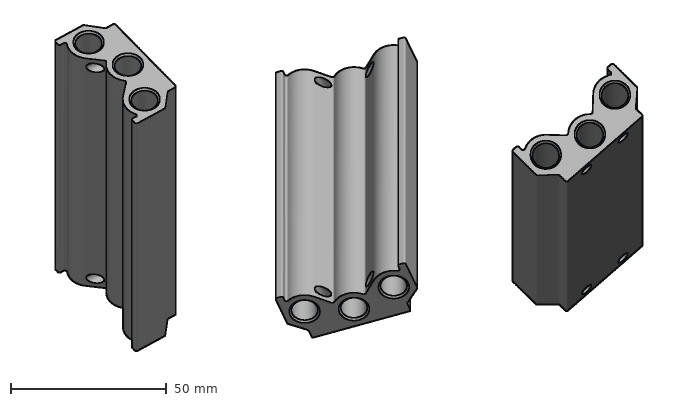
import cadquery as cq
import math

width = 44.5
depth = 20.0
length = 109.5

half_width = width / 2
back_half_width = 16.9
back_step = 3.5
shoulder_y = depth - back_step
bevel_height = 4.9
bevel_low_y = shoulder_y - bevel_height
leg_thickness = 2.6
back_edge_radius = 0.5
leg_radius = 0.7
valley_radius = 0.8

side_bore_x = 15.2
side_bore_y = 8.5
middle_bore_y = 13.0
lobe_radius = 7.0
bore_radius = 4.3
bore_mouth_radius = 4.9
bore_chamfer = bore_mouth_radius - bore_radius
bore_centres = [(-side_bore_x, side_bore_y), (0, middle_bore_y), (side_bore_x, side_bore_y)]

mount_x = 8.0
mount_end_distance = 4.0
mount_radius = 2.1


def make_body():
    """Extrude the symmetric profile, then round its lengthwise edges."""
    diagonal = lobe_radius * math.sqrt(0.5)
    flank_x = side_bore_x - diagonal
    flank_y = side_bore_y - diagonal

    offset = flank_x + flank_y - middle_bore_y
    valley_x = (offset + math.sqrt(2 * lobe_radius**2 - offset**2)) / 2
    valley_y = middle_bore_y + offset - valley_x

    leg_inner_x = half_width - leg_thickness
    root_y = side_bore_y - math.sqrt(lobe_radius**2 - (leg_inner_x - side_bore_x) ** 2)
    side_lobe_low = side_bore_y - lobe_radius
    middle_lobe_low = middle_bore_y - lobe_radius

    profile = (
        cq.Workplane("XY")
        .moveTo(-back_half_width, depth)
        .lineTo(back_half_width, depth)
        .lineTo(back_half_width, shoulder_y)
        .lineTo(half_width, bevel_low_y)
        .lineTo(half_width, 0)
        .lineTo(leg_inner_x, 0)
        .lineTo(leg_inner_x, root_y)
        .threePointArc((side_bore_x, side_lobe_low), (flank_x, flank_y))
        .lineTo(valley_x, valley_y)
        .threePointArc((0, middle_lobe_low), (-valley_x, valley_y))
        .lineTo(-flank_x, flank_y)
        .threePointArc((-side_bore_x, side_lobe_low), (-leg_inner_x, root_y))
        .lineTo(-leg_inner_x, 0)
        .lineTo(-half_width, 0)
        .lineTo(-half_width, bevel_low_y)
        .lineTo(-back_half_width, shoulder_y)
        .close()
    )
    body = profile.extrude(length)

    body = round_long_edges(body, (valley_x, valley_y), valley_radius)
    back_points = [
        (back_half_width, depth),
        (back_half_width, shoulder_y),
        (half_width, bevel_low_y),
    ]
    for point in back_points:
        body = round_long_edges(body, point, back_edge_radius)
    leg_points = [
        (half_width, 0),
        (leg_inner_x, 0),
        (leg_inner_x, root_y),
    ]
    for point in leg_points:
        body = round_long_edges(body, point, leg_radius)
    return body


def round_long_edges(body, point, radius):
    """Fillet the lengthwise edge at a profile point and its mirror image across X = 0."""
    x, y = point
    for edge_x in (-x, x):
        edge = cq.selectors.NearestToPointSelector((edge_x, y, length / 2))
        body = body.edges("|Z").edges(edge).fillet(radius)
    return body


def make_bore(x, y):
    """Through bore with a conical mouth at both ends."""
    half_section = (
        cq.Workplane("XZ", origin=(x, y, 0))
        .moveTo(0, 0)
        .lineTo(bore_mouth_radius, 0)
        .lineTo(bore_radius, bore_chamfer)
        .lineTo(bore_radius, length - bore_chamfer)
        .lineTo(bore_mouth_radius, length)
        .lineTo(0, length)
        .close()
    )
    return half_section.revolve(360, (0, 0, 0), (0, 1, 0))


def make_mount_hole(x, z):
    """Plain hole through the thickness along Y."""
    return cq.Workplane("XZ", origin=(x, 0, z)).circle(mount_radius).extrude(-depth)


result = make_body()
for centre in bore_centres:
    result = result.cut(make_bore(*centre))
for x in (-mount_x, mount_x):
    for z in (mount_end_distance, length - mount_end_distance):
        result = result.cut(make_mount_hole(x, z))